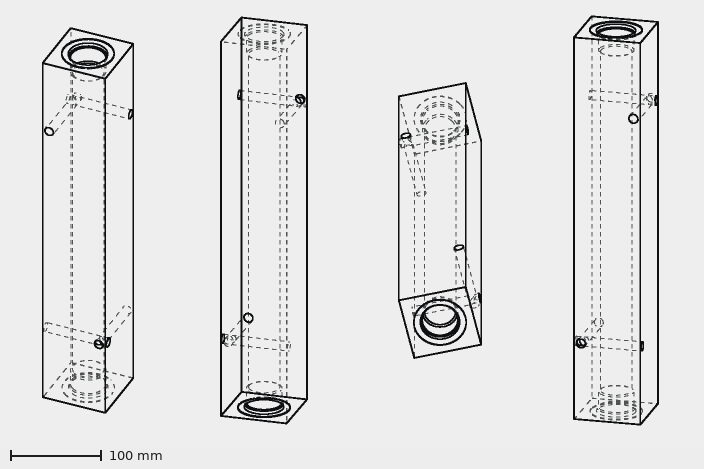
import cadquery as cq
import math

length = 444.5
side = 76.0
edge_chamfer = 0.2

bore_diameter = 34.5
port_diameter = 39.0
port_depth = 23.5
drill_point_angle = 118
seal_cone_diameter = 43.5
seal_cone_depth = 3.3
seal_cone_half_angle = 15
spotface_diameter = 58.0
spotface_depth = 1.0

mount_diameter = 10.2
mount_edge_offset = 8.0
mount_end_offset = 89.0

half_side = side / 2
mount_offset = half_side - mount_edge_offset


def port_cutter():
    """Spotface, steep seal cone, 45-degree chamfer and drilled port, sunk from the top end."""
    bore_radius = bore_diameter / 2
    port_radius = port_diameter / 2
    seal_radius = seal_cone_diameter / 2
    seal_end_radius = seal_radius - seal_cone_depth * math.tan(math.radians(seal_cone_half_angle))

    spotface_floor = length - spotface_depth
    seal_end = spotface_floor - seal_cone_depth
    chamfer_end = seal_end - (seal_end_radius - port_radius)
    port_end = length - port_depth
    drill_end = port_end - (port_radius - bore_radius) / math.tan(math.radians(drill_point_angle / 2))

    profile = [
        (0, length),
        (spotface_diameter / 2, length),
        (spotface_diameter / 2, spotface_floor),
        (seal_radius, spotface_floor),
        (seal_end_radius, seal_end),
        (port_radius, chamfer_end),
        (port_radius, port_end),
        (bore_radius, drill_end),
        (0, drill_end),
    ]
    return cq.Workplane("YZ").polyline(profile).close().revolve(360, (0, 0, 0), (0, 1, 0))


def mount_hole_along_x(y, z):
    return cq.Workplane("YZ", origin=(-half_side, y, z)).circle(mount_diameter / 2).extrude(side)


def mount_hole_along_y(x, z):
    return cq.Workplane("XZ", origin=(x, half_side, z)).circle(mount_diameter / 2).extrude(side)


result = cq.Workplane("XY").box(side, side, length, centered=(True, True, False))

result = result.edges().chamfer(edge_chamfer)

result = result.cut(cq.Workplane("XY").circle(bore_diameter / 2).extrude(length))

top_port = port_cutter()
bottom_port = top_port.mirror("XY", (0, 0, length / 2))
result = result.cut(top_port).cut(bottom_port)

for corner, z in ((1, length - mount_end_offset), (-1, mount_end_offset)):
    result = result.cut(mount_hole_along_x(corner * mount_offset, z))
    result = result.cut(mount_hole_along_y(-corner * mount_offset, z))